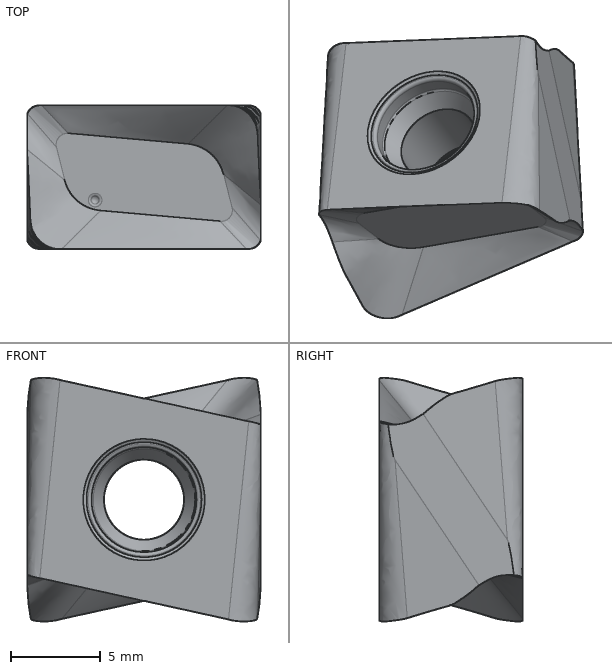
import cadquery as cq
import math

length_x = 13.0
width_y = 8.0
half_x = length_x / 2
half_y = width_y / 2

band_y = 1.55
band_z = 4.76
band_angle = math.radians(33.8)
relief_slope = 0.045
blank_z = 7.5

round_mid = 1.09
round_growth = 0.08

floor_z = 4.0
floor_wide_corner = (-4.03, -1.71)
floor_tight_corner = (5.09, -2.52)
floor_wide_radius = 2.25
floor_tight_radius = 0.62

rim_mid_z = 5.63
rim_slope = 0.22
rim_nose_z = 6.77
rim_front_start_x = -4.6
rim_front_end_x = 5.7

rim_short_corner = [
    (0.5, (6.27, -3.83, 4.25)),
    (1.0, (half_x, -3.55, 4.20)),
]
rim_end_low = [
    (0.38, (half_x, -2.70, 4.23)),
    (0.80, (half_x, -1.93, 4.53)),
    (1.0, (half_x, -band_y, band_z)),
]
rim_tall_corner = [
    (0.125, (6.46, -0.55, 5.57)),
    (0.1875, (6.445, -0.05, 5.87)),
    (0.25, (6.43, 0.40, 6.02)),
    (0.5, (6.33, 2.25, 6.55)),
    (0.625, (6.155, 3.05, 6.71)),
    (0.75, (5.72, 3.61, rim_nose_z)),
    (0.875, (5.17, 3.92, 6.755)),
]

overshoot = 1.2
cutter_top_z = 10.0

throat_radius = 2.22
throat_half_length = 1.89
seat_radius = 2.84
seat_y = 2.8
bore_radius = 2.92
bore_y = 2.95
lip_round = 0.2
ledge_radius = 3.2
ledge_y = 3.9
mouth_radius = 3.38

dimple_x = -2.73
dimple_y = -1.26
dimple_radius = 0.375
dimple_bowl_radius = 0.22
dimple_steepest_slope = math.radians(45)


def facet_x(y, z):
    """X of the relief facet at the -X end, whose tall corner is at -Y and +Z."""
    rise = (z - band_z) * math.sin(band_angle) - (y - band_y) * math.cos(band_angle)
    return -half_x + relief_slope * rise


def blank_section(z):
    """Slanted outline at height z, with its -X-Y corner and the opposite one rounded."""
    front_x = facet_x(-half_y, z)
    back_x = facet_x(half_y, z)
    corners = [
        (front_x, -half_y, z),
        (-back_x, -half_y, z),
        (-front_x, half_y, z),
        (back_x, half_y, z),
    ]
    outline = cq.Wire.makePolygon([cq.Vector(*c) for c in corners], close=True)
    rounded = [v for v in outline.Vertices() if v.X * v.Y > 0]
    return outline.fillet2D(round_mid + round_growth * z, rounded)


def half_turn_x(shape):
    return shape.rotate((0, 0, 0), (1, 0, 0), 180)


def point_half_turn_z(point):
    return cq.Vector(-point.x, -point.y, point.z)


def make_blank():
    """Block without chip floors: two slanted bodies trimmed to the overall length and width."""
    sections = [blank_section(-blank_z), blank_section(blank_z)]
    tapered = cq.Workplane(cq.Solid.makeLoft(sections, True))
    envelope = cq.Workplane().box(length_x, width_y, 2 * blank_z)
    return envelope.intersect(tapered).intersect(half_turn_x(tapered))


def corner_round(before, corner, after, radius):
    """Arc edge rounding a corner between two neighbouring corners."""
    along_before = (before - corner).normalized()
    along_after = (after - corner).normalized()
    half_angle = along_before.getAngle(along_after) / 2
    start = corner + along_before * (radius / math.tan(half_angle))
    end = corner + along_after * (radius / math.tan(half_angle))
    bisector = (along_before + along_after).normalized()
    middle = corner + bisector * (radius / math.sin(half_angle) - radius)
    return cq.Edge.makeThreePointArc(start, middle, end)


def make_floor_edges():
    """Half the floor outline: front edge, tight corner, end edge, wide corner."""
    wide = cq.Vector(*floor_wide_corner, floor_z)
    tight = cq.Vector(*floor_tight_corner, floor_z)
    wide_opposite = point_half_turn_z(wide)
    tight_opposite = point_half_turn_z(tight)
    near_wide = corner_round(tight_opposite, wide, tight, floor_wide_radius)
    tight_arc = corner_round(wide, tight, wide_opposite, floor_tight_radius)
    wide_arc = corner_round(tight, wide_opposite, tight_opposite, floor_wide_radius)
    front_line = cq.Edge.makeLine(near_wide.endPoint(), tight_arc.startPoint())
    end_line = cq.Edge.makeLine(tight_arc.endPoint(), wide_arc.startPoint())
    return [front_line, tight_arc, end_line, wide_arc]


def rim_front_point(x):
    return (x, -half_y, rim_mid_z - rim_slope * x)


def beyond(floor_edge, share, rim_point):
    """Carry the line from the floor edge to the rim on past the rim."""
    base = floor_edge.positionAt(share)
    return base + (cq.Vector(*rim_point) - base) * overshoot


def edge_through(points, shares):
    if len(points) == 2:
        return cq.Edge.makeLine(*points)
    return cq.Edge.makeSpline(points, parameters=shares)


def rim_stretches():
    """Half the rim, one stretch for each of the floor edges."""
    start = rim_front_point(rim_front_start_x)
    end = rim_front_point(rim_front_end_x)
    next_start = point_half_turn_z(cq.Vector(*start)).toTuple()
    return [
        [(0.0, start), (1.0, end)],
        [(0.0, end)] + rim_short_corner,
        [(0.0, rim_short_corner[-1][1])] + rim_end_low,
        [(0.0, rim_end_low[-1][1])] + rim_tall_corner + [(1.0, next_start)],
    ]


def with_half_turn(shape):
    return [shape, shape.rotate((0, 0, 0), (0, 0, 1), 180)]


def make_chip_cutter():
    """Everything above the floor and above the ruled flanks that rise from it to the rim."""
    floor_edges = []
    lid_edges = []
    faces = []
    for floor_edge, stretch in zip(make_floor_edges(), rim_stretches()):
        shares = [share for share, _ in stretch]
        outer_points = [beyond(floor_edge, share, point) for share, point in stretch]
        lid_points = [cq.Vector(p.x, p.y, cutter_top_z) for p in outer_points]
        outer_edge = edge_through(outer_points, shares)
        lid_edge = edge_through(lid_points, shares)
        faces += with_half_turn(cq.Face.makeRuledSurface(floor_edge, outer_edge))
        faces += with_half_turn(cq.Face.makeRuledSurface(outer_edge, lid_edge))
        floor_edges += with_half_turn(floor_edge)
        lid_edges += with_half_turn(lid_edge)
    for edges in (floor_edges, lid_edges):
        outline = cq.Wire.combine(edges)[0]
        faces.append(cq.Face.makeFromWires(outline))
    return cq.Workplane(cq.Solid.makeSolid(cq.Shell.makeShell(faces)).fix())


def make_screw_hole():
    """Through hole, waisted in the middle and stepped open towards both faces."""
    lip_centre_radius = bore_radius + lip_round
    half = (
        cq.Workplane("XY")
        .lineTo(0, half_y)
        .lineTo(mouth_radius, half_y)
        .lineTo(ledge_radius, ledge_y)
        .lineTo(lip_centre_radius, ledge_y)
        .radiusArc((bore_radius, ledge_y - lip_round), -lip_round)
        .lineTo(bore_radius, bore_y)
        .tangentArcPoint((seat_radius, seat_y), relative=False)
        .lineTo(throat_radius, throat_half_length)
        .lineTo(throat_radius, 0)
        .close()
        .revolve(360, (0, 0, 0), (0, 1, 0))
    )
    return half.union(half_turn_x(half))


def make_dimple():
    """Round bowl with a rounded brim running smoothly into the floor."""
    tangent_ratio = math.tan(dimple_steepest_slope / 2)
    brim_depth = (dimple_radius - dimple_bowl_radius) * tangent_ratio
    bowl_sphere_radius = dimple_bowl_radius / math.sin(dimple_steepest_slope)
    bowl_depth = dimple_bowl_radius * tangent_ratio
    dimple = (
        cq.Workplane("XZ")
        .lineTo(0, -brim_depth - bowl_depth)
        .radiusArc((dimple_bowl_radius, -brim_depth), -bowl_sphere_radius)
        .tangentArcPoint((dimple_radius, 0), relative=False)
        .close()
        .revolve(360, (0, 0, 0), (0, 1, 0))
    )
    return dimple.translate((dimple_x, dimple_y, floor_z))


blank = make_blank()
chip_cutter = make_chip_cutter()
insert = blank.cut(chip_cutter).cut(half_turn_x(chip_cutter))
result = insert.cut(make_screw_hole()).cut(make_dimple())